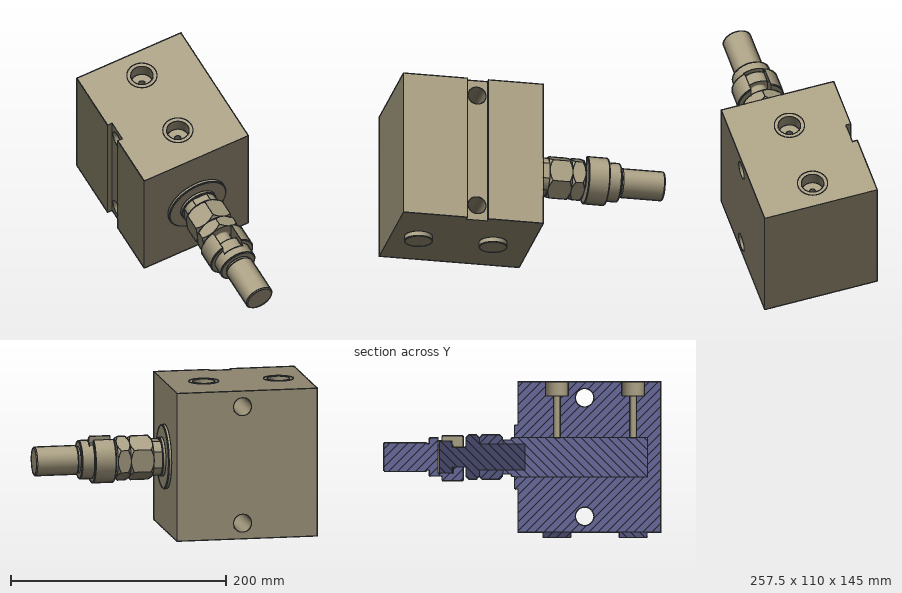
import cadquery as cq
import math


block_length = 132.9
block_width = 110.0
block_height = 140.0
edge_chamfer = 0.3
groove_x = 70.8
groove_width = 20.0
groove_depth = 5.0
bolt_hole_diameter = 17.0
bolt_hole_spacing = 110.2

gland_diameter = 60.0
gland_length = 3.0
gland_chamfer = 0.8

port_positions = (25.8, 96.5)
port_diameter = 20.9
port_depth = 13.1
spotface_diameter = 28.0
spotface_depth = 0.3
passage_diameter = 6.2
plug_diameter = 26.3
plug_height = 5.0
plug_chamfer = 0.5

rod_diameter = 36.3
rod_start = 13.0
rod_exposed_length = 3.0
rod_chamfer = 0.8
flats_diameter = 35.3
flats_across = 32.0
flats_length = 8.0
flats_count = 4

hex_sides = 6
hex_across_flats = 36.0
lock_nut_length = 21.6
stud_hex_length = 12.4
thread_diameter = 24.0
thread_engagement = 20.5

neck_diameter = 18.5
neck_length = 13.0
neck_fillet = 1.0
head_diameter = 29.9
head_length = 11.8
head_chamfer = 0.5

coupling_gap = 2.3
ring_diameter = 44.3
ring_length = 20.0
ring_chamfer = 0.8
flange_diameter = 36.0
flange_length = 11.8
flange_chamfer = 0.8
relief_diameter = 25.0
relief_length = 1.8
shaft_diameter = 27.0
shaft_chamfer = 1.0
slot_width = 19.3
pocket_gap = 1.0
overall_length = 257.5

gland_end = block_length + gland_length
flats_start = gland_end + rod_exposed_length
rod_end = flats_start + flats_length
lock_nut_end = rod_end + lock_nut_length
stud_hex_end = lock_nut_end + stud_hex_length
thread_start = rod_end - thread_engagement
head_start = stud_hex_end + neck_length
head_end = head_start + head_length
coupling_start = stud_hex_end + coupling_gap
ring_end = coupling_start + ring_length
flange_end = ring_end + flange_length
shaft_start = flange_end + relief_length
pocket_start = head_start - pocket_gap
pocket_end = head_end + pocket_gap


def turned(start, end, diameter, start_chamfer=0.0, end_chamfer=0.0):
    """Round bar on the X axis with optional 45-degree chamfers at its ends."""
    radius = diameter / 2
    profile = cq.Workplane("XZ").moveTo(start, 0).lineTo(start, radius - start_chamfer)
    if start_chamfer:
        profile = profile.lineTo(start + start_chamfer, radius)
    profile = profile.lineTo(end - end_chamfer, radius)
    if end_chamfer:
        profile = profile.lineTo(end, radius - end_chamfer)
    return profile.lineTo(end, 0).close().revolve(360, (0, 0, 0), (1, 0, 0))


def chamfered_hexagon(start, end):
    """Hexagon bar with corners up and down, its corners turned off at both ends."""
    corner_diameter = hex_across_flats / math.cos(math.pi / hex_sides)
    corner_chamfer = (corner_diameter - hex_across_flats) / 2
    prism = (
        cq.Workplane("YZ", origin=(start, 0, 0))
        .transformed(rotate=(0, 0, 90))
        .polygon(hex_sides, corner_diameter)
        .extrude(end - start)
    )
    return prism.intersect(turned(start, end, corner_diameter, corner_chamfer, corner_chamfer))


def upright_cylinder(x, bottom, diameter, height):
    """Cylinder along Z on the middle plane Y = 0."""
    return cq.Workplane("XY", origin=(x, 0, bottom)).circle(diameter / 2).extrude(height)


def make_block():
    """Block with its gland boss, side groove, bolt holes, ports and rod bore."""
    block = (
        cq.Workplane("XY")
        .box(block_length, block_width, block_height)
        .translate((block_length / 2, 0, 0))
        .edges("|X")
        .chamfer(edge_chamfer)
    )
    groove = cq.Workplane("XY").box(groove_width, 2 * groove_depth, block_height)
    block = block.cut(groove.translate((groove_x, -block_width / 2, 0)))

    bolt_holes = (
        cq.Workplane("XZ", origin=(groove_x, 0, 0))
        .rarray(2.5, bolt_hole_spacing, 1, 2)
        .circle(bolt_hole_diameter / 2)
        .extrude(block_width / 2, both=True)
    )
    block = block.cut(bolt_holes)

    top = block_height / 2
    for x in port_positions:
        block = block.cut(upright_cylinder(x, top - spotface_depth, spotface_diameter, spotface_depth))
        block = block.cut(upright_cylinder(x, top - port_depth, port_diameter, port_depth))
        block = block.cut(upright_cylinder(x, 0, passage_diameter, top))

    block = block.union(turned(block_length, gland_end, gland_diameter, end_chamfer=gland_chamfer))
    return block.cut(turned(rod_start, gland_end, rod_diameter))


def make_plug(x):
    """Round plug standing on the underside of the block."""
    plug = upright_cylinder(x, -block_height / 2 - plug_height, plug_diameter, plug_height)
    return plug.faces("<Z").chamfer(plug_chamfer)


def make_rod():
    """Rod with wrench flats at its outer end and a threaded hole for the T-stud."""
    rod = turned(rod_start, flats_start, rod_diameter, end_chamfer=rod_chamfer)
    wrench_section = turned(flats_start, rod_end, flats_diameter)
    flats = cq.Workplane("YZ", origin=(flats_start, 0, 0)).polygon(
        flats_count, flats_across / math.cos(math.pi / flats_count)
    )
    flats = flats.extrude(flats_length).rotate((0, 0, 0), (1, 0, 0), 180 / flats_count)
    rod = rod.union(wrench_section.intersect(flats))
    return rod.cut(turned(thread_start, rod_end, thread_diameter))


def make_lock_nut():
    """Long hexagon nut clamped between the rod end and the T-stud."""
    return chamfered_hexagon(rod_end, lock_nut_end).cut(turned(rod_end, lock_nut_end, thread_diameter))


def make_t_stud():
    """Stud with a thread, a short hexagon, a neck filleted at both ends and a round head."""
    neck_radius = neck_diameter / 2
    flare_radius = neck_radius + neck_fillet
    arc_offset = neck_fillet * (1 - math.sqrt(0.5))
    neck = (
        cq.Workplane("XZ")
        .moveTo(stud_hex_end, 0)
        .lineTo(stud_hex_end, flare_radius)
        .threePointArc(
            (stud_hex_end + arc_offset, neck_radius + arc_offset),
            (stud_hex_end + neck_fillet, neck_radius),
        )
        .lineTo(head_start - neck_fillet, neck_radius)
        .threePointArc(
            (head_start - arc_offset, neck_radius + arc_offset),
            (head_start, flare_radius),
        )
        .lineTo(head_start, 0)
        .close()
        .revolve(360, (0, 0, 0), (1, 0, 0))
    )
    return (
        chamfered_hexagon(lock_nut_end, stud_hex_end)
        .union(turned(thread_start, lock_nut_end, thread_diameter))
        .union(neck)
        .union(turned(head_start, head_end, head_diameter, end_chamfer=head_chamfer))
    )


def make_coupling():
    """Slotted ring and flange around the T-stud head, with a tail shaft."""
    coupling = (
        turned(coupling_start, ring_end, ring_diameter, ring_chamfer, ring_chamfer)
        .union(turned(ring_end, flange_end, flange_diameter, end_chamfer=flange_chamfer))
        .union(turned(flange_end, shaft_start, relief_diameter))
        .union(turned(shaft_start, overall_length, shaft_diameter, shaft_chamfer, shaft_chamfer))
    )
    slot_length = pocket_end - coupling_start
    slot = (
        cq.Workplane("XY", origin=(coupling_start, 0, 0))
        .rect(2 * slot_length, slot_width)
        .extrude(ring_diameter)
    )
    slot_floor = turned(coupling_start, pocket_end, slot_width)
    head_pocket = turned(pocket_start, pocket_end, head_diameter)
    return coupling.cut(slot).cut(slot_floor).cut(head_pocket)


block = make_block()
plugs = [make_plug(x) for x in port_positions]
rod = make_rod()
lock_nut = make_lock_nut()
t_stud = make_t_stud()
coupling = make_coupling()

result = cq.Compound.makeCompound(
    [
        block.val(),
        *[plug.val() for plug in plugs],
        rod.val(),
        lock_nut.val(),
        t_stud.val(),
        coupling.val(),
    ]
)